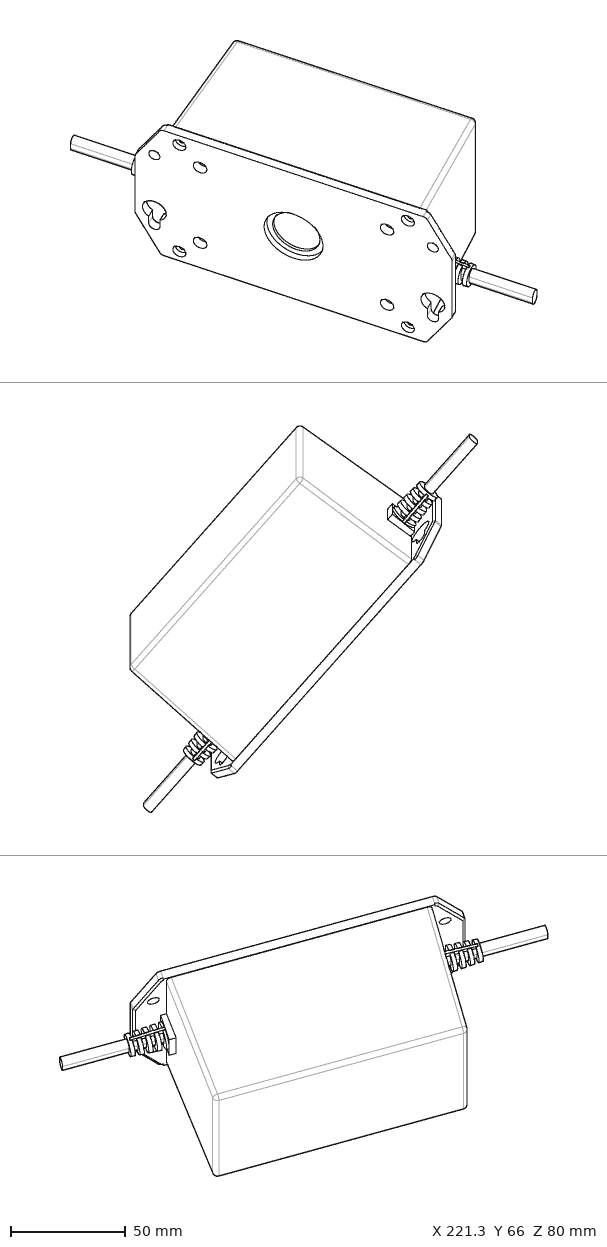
import cadquery as cq
import math

plate_length = 151.8
plate_height = 80.0
plate_thickness = 4.2
plate_end_half_height = 18.4
end_slant_angle = 60
plate_corner_radius = 2.5
tab_chamfer_depth = 1.22
tab_chamfer_setback = 0.7

mount_x = 66.6
mount_z = 22.4
mount_diameter = 5.3
keyhole_z = -13.0
keyhole_diameter = 11.3

port_x = 44.7
port_z = 24.1
port_diameter = 6.5
window_diameter = 22.5
window_recess_diameter = 28.0
window_recess_depth = 2.9

screw_x = 54.7
screw_z = 34.0
screw_diameter = 2.5
screw_head_diameter = 6.2
screw_head_depth = 2.7

overall_depth = 66.0
housing_length = 121.3
housing_height = 79.2
housing_taper = 2.5
housing_edge_radius = 2.2
wall_thickness = 2.2

overall_length = 221.3
cable_width = 7.7
cable_thickness = 4.6
left_cord_y = 11.0
flange_depth = 12.6
flange_height = 14.4
flange_face_x = 63.3
right_cord_y = plate_thickness + flange_depth / 2
relief_end_x = 80.3
relief_tip_radius = 5.0
relief_root_radius = 6.2
rib_count = 5
rib_pitch = 4.0
rib_width = 2.0
web_thickness = 1.3
web_overhang = 0.5


def four_corners(x, z):
    return [(sx * x, sz * z) for sx in (-1, 1) for sz in (-1, 1)]


def drill(points, diameter, depth):
    """Cylinders running from the front face towards +Y."""
    front = cq.Workplane("XZ").pushPoints(points)
    return front.circle(diameter / 2).extrude(-depth)


def make_plate():
    half_length = plate_length / 2
    half_height = plate_height / 2
    slant_run = (half_height - plate_end_half_height) / math.tan(math.radians(end_slant_angle))
    flat_half_length = half_length - slant_run
    outline = [
        (-half_length, -plate_end_half_height),
        (-flat_half_length, -half_height),
        (flat_half_length, -half_height),
        (half_length, -plate_end_half_height),
        (half_length, plate_end_half_height),
        (flat_half_length, half_height),
        (-flat_half_length, half_height),
        (-half_length, plate_end_half_height),
    ]
    plate = cq.Workplane("XZ").polyline(outline).close().extrude(-plate_thickness)
    plate = plate.edges("|Y").fillet(plate_corner_radius)

    plate = plate.faces(">Y").chamfer(tab_chamfer_setback, tab_chamfer_depth)
    corner_tangent = plate_corner_radius * math.tan(math.radians(end_slant_angle / 2))
    middle = cq.Workplane("XZ").rect(2 * (flat_half_length - corner_tangent), plate_height)
    plate = plate.union(middle.extrude(-plate_thickness))

    plate = plate.cut(drill(four_corners(mount_x, mount_z), mount_diameter, plate_thickness))
    plate = plate.cut(make_keyholes())
    plate = plate.cut(drill(four_corners(port_x, port_z), port_diameter, plate_thickness))

    screws = four_corners(screw_x, screw_z)
    plate = plate.cut(drill(screws, screw_diameter, plate_thickness))
    plate = plate.cut(drill(screws, screw_head_diameter, screw_head_depth))

    plate = plate.cut(drill([(0, 0)], window_diameter, plate_thickness))
    return plate.cut(drill([(0, 0)], window_recess_diameter, window_recess_depth))


def make_keyholes():
    """Round entries above the lower mounting holes, joined to them by a slot."""
    entries = drill([(-mount_x, keyhole_z), (mount_x, keyhole_z)], keyhole_diameter, plate_thickness)
    slot_centres = [(-mount_x, (keyhole_z - mount_z) / 2), (mount_x, (keyhole_z - mount_z) / 2)]
    slots = (
        cq.Workplane("XZ")
        .pushPoints(slot_centres)
        .rect(mount_diameter, keyhole_z + mount_z)
        .extrude(-plate_thickness)
    )
    return entries.union(slots)


def tapered_block(length, height, depth):
    """Block standing on the back of the plate, narrowing towards +Y."""
    base = cq.Workplane("XZ", origin=(0, plate_thickness, 0)).rect(length, height)
    return base.extrude(-depth, taper=housing_taper)


def make_housing_block():
    block = tapered_block(housing_length, housing_height, overall_depth - plate_thickness)
    return block.edges("not(<Y)").fillet(housing_edge_radius)


def make_housing():
    cavity = tapered_block(
        housing_length - 2 * wall_thickness,
        housing_height - 2 * wall_thickness,
        overall_depth - plate_thickness - wall_thickness,
    )
    return make_housing_block().cut(cavity)


def make_cord(side, centre_y):
    """One cord on the +X (side = 1) or -X (side = -1) end, seated against the housing."""
    def block(start_x, end_x, depth, height):
        middle = side * (start_x + end_x) / 2
        return cq.Workplane("XY").box(end_x - start_x, depth, height).translate((middle, centre_y, 0))

    relief_length = relief_end_x - flange_face_x
    envelope = cq.Workplane(
        cq.Solid.makeCone(
            relief_root_radius,
            relief_tip_radius,
            relief_length,
            cq.Vector(side * flange_face_x, centre_y, 0),
            cq.Vector(side, 0, 0),
        )
    )

    slices = cq.Workplane("XY")
    for index in range(rib_count):
        rib_end_x = relief_end_x - index * rib_pitch
        rib_start_x = max(rib_end_x - rib_width, flange_face_x)
        slices = slices.union(block(rib_start_x, rib_end_x, 2 * relief_root_radius, 2 * relief_root_radius))
    ribs = envelope.intersect(slices)

    web_end_x = relief_end_x - rib_width / 2
    root_half_height = relief_root_radius + web_overhang
    tip_half_height = relief_tip_radius + web_overhang
    web = (
        cq.Workplane("XZ", origin=(0, centre_y, 0))
        .moveTo(side * flange_face_x, -root_half_height)
        .lineTo(side * web_end_x, -tip_half_height)
        .lineTo(side * web_end_x, tip_half_height)
        .lineTo(side * flange_face_x, root_half_height)
        .close()
        .extrude(web_thickness / 2, both=True)
    )

    cable = (
        cq.Workplane("YZ", origin=(side * flange_face_x, centre_y, 0))
        .slot2D(cable_width, cable_thickness, 90)
        .extrude(side * (overall_length / 2 - flange_face_x))
    )

    flange = block(housing_length / 4, flange_face_x, flange_depth, flange_height)
    flange = flange.cut(make_housing_block())

    return flange.union(ribs).union(web).union(cable)


plate = make_plate()
housing = make_housing()
cords = [make_cord(-1, left_cord_y), make_cord(1, right_cord_y)]

result = cq.Compound.makeCompound(
    [plate.val(), housing.val(), *[cord.val() for cord in cords]]
)